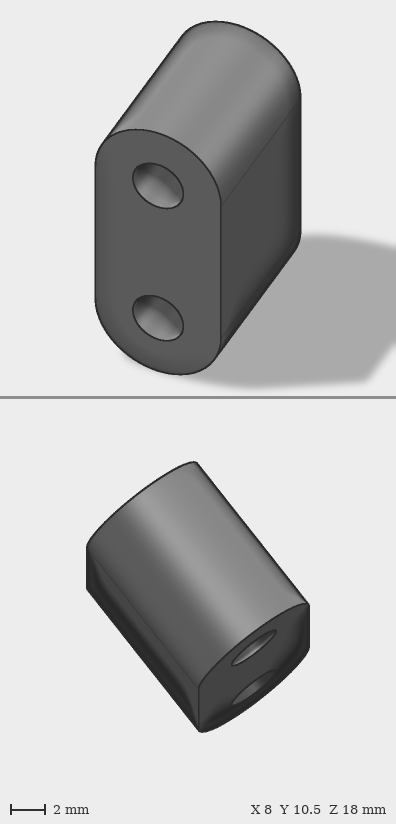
import cadquery as cq

height = 18.0
width = 8.0
depth = 10.5

hole_diameter = 3.2
hole_spacing = height - width

body = (
    cq.Workplane("XZ")
    .slot2D(height, width, angle=90)
    .extrude(depth / 2, both=True)
)

holes = (
    cq.Workplane("XZ")
    .pushPoints([(0, -hole_spacing / 2), (0, hole_spacing / 2)])
    .circle(hole_diameter / 2)
    .extrude(depth / 2, both=True)
)

result = body.cut(holes)